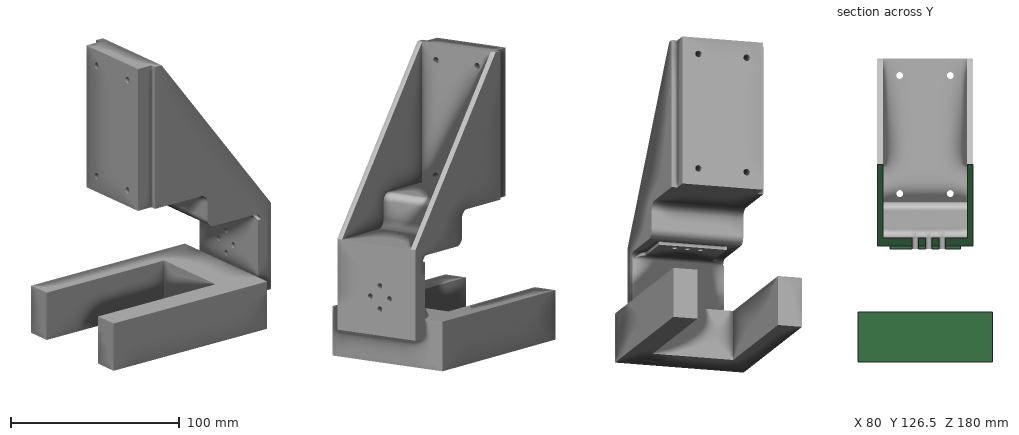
import cadquery as cq


fork_width = 80.0
fork_length = 115.0
fork_height = 30.0
fork_arm_width = 15.0
fork_base_depth = 27.0
fork_gap = fork_width - 2 * fork_arm_width

slide_front_y = 29.75
slide_thickness = 10.0
slide_width = 50.0
slide_height = 90.0
slide_top_z = 180.0
slide_bottom_z = slide_top_z - slide_height
slide_hole_diameter = 4.0
slide_hole_spacing_x = 30.0
slide_hole_spacing_z = 70.0
slide_hole_margin = 10.0
slide_hole_z = slide_bottom_z + slide_hole_margin + slide_hole_spacing_z / 2

shell_thickness = 5.0
side_thickness = 3.5
bracket_width = slide_width + 2 * side_thickness
bracket_front_y = slide_front_y + slide_thickness
bracket_back_y = 126.5
cavity_front_y = bracket_front_y + shell_thickness
leg_thickness = 7.5
leg_front_y = bracket_back_y - leg_thickness
leg_length = 50.0
step_y = 79.1
step_radius = 5.0
ledge_z = 69.0
upper_floor_z = slide_bottom_z + shell_thickness
lower_floor_z = ledge_z + shell_thickness
leg_bottom_z = ledge_z - leg_length

sheet_thickness = 2.0
bend_outer_radius = 4.0
bend_inner_radius = bend_outer_radius - sheet_thickness
bend_y = leg_front_y - bend_outer_radius
bend_z = ledge_z - bend_outer_radius
flange_width = 42.0
flange_length = 31.0
flange_end_y = leg_front_y - flange_length

mount_hole_diameter = 3.5
leg_hole_x = -2.5
leg_hole_z = 42.0
leg_hole_circle_diameter = 14.0
leg_hole_count = 4
ledge_hole_x = -2.0
ledge_hole_y = 93.0
ledge_hole_spacing = 8.0
ledge_hole_count = 3


def box(width, y_range, z_range):
    """Block centred on X = 0 that fills the given Y and Z ranges."""
    depth = y_range[1] - y_range[0]
    height = z_range[1] - z_range[0]
    return (
        cq.Workplane("XY")
        .box(width, depth, height, centered=(True, False, False))
        .translate((0, y_range[0], z_range[0]))
    )


def extrude_across(profile, width):
    """Extrude a YZ profile into a body centred on X = 0."""
    return profile.extrude(width).translate((-width / 2, 0, 0))


def slide_hole_cutters():
    """Four holes along Y through the slide plate and the bracket front wall."""
    return (
        cq.Workplane("XZ", origin=(0, slide_front_y, slide_hole_z))
        .rarray(slide_hole_spacing_x, slide_hole_spacing_z, 2, 2)
        .circle(slide_hole_diameter / 2)
        .extrude(-(cavity_front_y - slide_front_y))
    )


def leg_hole_cutters():
    """Ring of holes along Y through the sheet and the leg."""
    return (
        cq.Workplane("XZ", origin=(leg_hole_x, leg_front_y - sheet_thickness, leg_hole_z))
        .polarArray(leg_hole_circle_diameter / 2, 0, 360, leg_hole_count)
        .circle(mount_hole_diameter / 2)
        .extrude(-(sheet_thickness + leg_thickness))
    )


def ledge_hole_cutters():
    """Row of holes along Z through the flange and the lower floor."""
    return (
        cq.Workplane("XY", origin=(ledge_hole_x, ledge_hole_y, ledge_z - sheet_thickness))
        .rarray(ledge_hole_spacing, 1, ledge_hole_count, 1)
        .circle(mount_hole_diameter / 2)
        .extrude(sheet_thickness + shell_thickness)
    )


def make_fork():
    body = box(fork_width, (0, fork_length), (0, fork_height))
    return body.cut(box(fork_gap, (0, fork_length - fork_base_depth), (0, fork_height)))


def make_slide_plate():
    plate = box(slide_width, (slide_front_y, bracket_front_y), (slide_bottom_z, slide_top_z))
    return plate.cut(slide_hole_cutters())


def round_x_edge(body, y, z, radius):
    """Fillet the X-running edge through the given YZ point."""
    return body.edges(cq.selectors.NearestToPointSelector((0, y, z))).fillet(radius)


def make_bracket():
    outline = cq.Workplane("YZ").polyline(
        [
            (bracket_front_y, slide_bottom_z),
            (step_y, slide_bottom_z),
            (step_y, ledge_z),
            (leg_front_y, ledge_z),
            (leg_front_y, leg_bottom_z),
            (bracket_back_y, leg_bottom_z),
            (bracket_back_y, lower_floor_z),
            (cavity_front_y, slide_top_z),
            (bracket_front_y, slide_top_z),
        ]
    ).close()
    body = extrude_across(outline, bracket_width)
    body = round_x_edge(body, step_y, slide_bottom_z, step_radius)
    body = round_x_edge(body, step_y, ledge_z, step_radius)
    body = round_x_edge(body, leg_front_y, ledge_z, bend_outer_radius)

    inner_step_y = step_y + shell_thickness
    cavity_outline = cq.Workplane("YZ").polyline(
        [
            (cavity_front_y, upper_floor_z),
            (inner_step_y, upper_floor_z),
            (inner_step_y, lower_floor_z),
            (bracket_back_y, lower_floor_z),
            (bracket_back_y, slide_top_z),
            (cavity_front_y, slide_top_z),
        ]
    ).close()
    cavity = extrude_across(cavity_outline, slide_width)
    cavity = round_x_edge(cavity, inner_step_y, upper_floor_z, step_radius)
    cavity = round_x_edge(cavity, inner_step_y, lower_floor_z, step_radius)

    body = body.cut(cavity)
    return body.cut(slide_hole_cutters()).cut(leg_hole_cutters()).cut(ledge_hole_cutters())


def section_corners(width, near, far):
    """X offset and radius of each corner of a bend end section."""
    half = width / 2
    return [(-half, near), (half, near), (half, far), (-half, far)]


def make_bend():
    """Quarter-round bend whose width tapers evenly from the leg sheet to the flange."""
    ring_profile = (
        cq.Workplane("YZ", origin=(0, bend_y, bend_z))
        .circle(bend_outer_radius)
        .circle(bend_inner_radius)
    )
    ring = extrude_across(ring_profile, bracket_width)

    near = bend_inner_radius / 2
    far = bend_outer_radius * 2
    leg_corners = section_corners(bracket_width, near, far)
    leg_points = [cq.Vector(x, bend_y + radius, bend_z) for x, radius in leg_corners]
    flange_corners = section_corners(flange_width, near, far)
    flange_points = [cq.Vector(x, bend_y, bend_z + radius) for x, radius in flange_corners]
    sections = [cq.Wire.makePolygon(points, close=True) for points in (leg_points, flange_points)]
    taper = cq.Solid.makeLoft(sections, True)
    return ring.intersect(cq.Workplane(taper))


def make_angle_plate():
    leg_sheet = box(bracket_width, (leg_front_y - sheet_thickness, leg_front_y), (leg_bottom_z, bend_z))
    flange = box(flange_width, (flange_end_y, bend_y), (ledge_z - sheet_thickness, ledge_z))
    plate = leg_sheet.union(make_bend()).union(flange)
    return plate.cut(leg_hole_cutters()).cut(ledge_hole_cutters())


fork = make_fork()
slide_plate = make_slide_plate()
bracket = make_bracket()
angle_plate = make_angle_plate()

result = cq.Compound.makeCompound([fork.val(), slide_plate.val(), bracket.val(), angle_plate.val()])